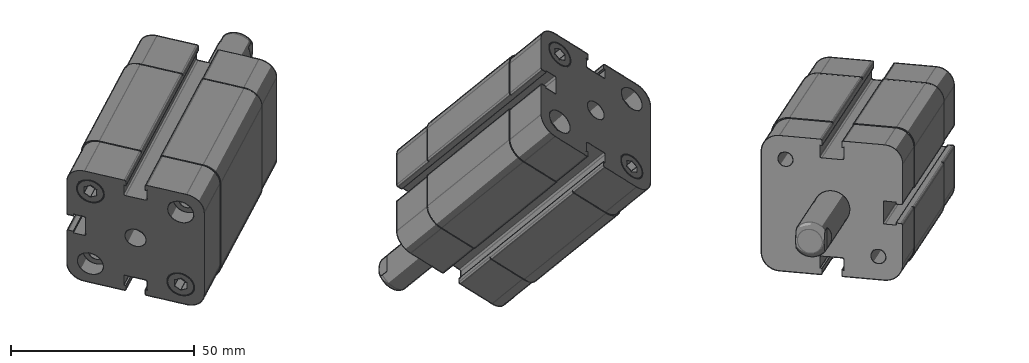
import cadquery as cq
import math

overall_length = 85.0
housing_length = 59.6
cover_length = 12.8
barrel_length = housing_length - 2 * cover_length

barrel_side = 40.1
cover_inset = 0.25
cover_side = barrel_side - 2 * cover_inset
corner_radius = 5.1

slot_mouth_width = 5.5
slot_inner_width = 6.7
slot_depth = 5.7
slot_lip_depth = 2.1
slot_rounding = 0.5
slot_overcut = 0.85
slot_angles = (0, 90, 180)

hole_offset = 13.0
hole_points = [(-hole_offset, -hole_offset), (hole_offset, hole_offset)]
screw_points = [(-hole_offset, hole_offset), (hole_offset, -hole_offset)]
through_hole_diameter = 4.2
counterbore_diameter = 7.5
counterbore_depth = 4.5
screw_recess_diameter = 8.0
screw_head_diameter = counterbore_diameter
hex_corner_diameter = 4.2
hex_depth = 4.0
center_hole_diameter = 6.0
center_hole_depth = 6.0

rod_length = overall_length - housing_length
rod_diameter = 10.0
rod_tip_radius = 1.5
rod_flats_width = 8.0
rod_flats_length = 3.5


def section_plane(y):
    """Cross-section plane at y, with local x along +X, local y along +Z and its normal along -Y."""
    return cq.Workplane("XZ", origin=(0, y, 0))


def slot_cutter(side, length):
    """Slot running along +Y, open at the +Z face of a square bar of the given side."""
    half_mouth = slot_mouth_width / 2
    half_inner = slot_inner_width / 2
    face = side / 2
    lip = barrel_side / 2 - slot_lip_depth
    floor = barrel_side / 2 - slot_depth
    r = slot_rounding
    bevel = r * (1 - math.sqrt(0.5))
    return (
        cq.Workplane("XZ")
        .moveTo(-half_mouth - r, face + slot_overcut)
        .lineTo(-half_mouth - r, face)
        .threePointArc((-half_mouth - bevel, face - bevel), (-half_mouth, face - r))
        .lineTo(-half_mouth, lip)
        .lineTo(-half_inner, lip)
        .lineTo(-half_inner, floor + r)
        .threePointArc((-half_inner + bevel, floor + bevel), (-half_inner + r, floor))
        .lineTo(half_inner - r, floor)
        .threePointArc((half_inner - bevel, floor + bevel), (half_inner, floor + r))
        .lineTo(half_inner, lip)
        .lineTo(half_mouth, lip)
        .lineTo(half_mouth, face - r)
        .threePointArc((half_mouth + bevel, face - bevel), (half_mouth + r, face))
        .lineTo(half_mouth + r, face + slot_overcut)
        .close()
        .extrude(-length)
    )


def slotted_block(side, start, length):
    """Rounded square bar from y = start, with slots in its +Z, -X and -Z faces."""
    block = cq.Workplane("XZ").rect(side, side).extrude(-length).edges("|Y").fillet(corner_radius)
    cutter = slot_cutter(side, length)
    for angle in slot_angles:
        block = block.cut(cutter.rotate((0, 0, 0), (0, 1, 0), -angle))
    return block.translate((0, start, 0))


def piston_rod():
    """Rod with a rounded tip and two wrench flats facing -X and +X."""
    rod = (
        section_plane(housing_length)
        .circle(rod_diameter / 2)
        .extrude(-rod_length)
        .faces(">Y").edges().fillet(rod_tip_radius)
    )
    flat = rod_flats_width / 2
    surface = rod_diameter / 2
    runout = overall_length - rod_flats_length
    waste = (
        cq.Workplane("XY")
        .moveTo(flat, overall_length)
        .lineTo(flat, runout)
        .lineTo(surface, runout - (surface - flat))
        .lineTo(surface, overall_length)
        .close()
        .extrude(surface, both=True)
    )
    return rod.cut(waste).cut(waste.mirror("YZ"))


def bore(points, diameter, depth):
    """Round bores sunk from the -Y face."""
    return section_plane(0).pushPoints(points).circle(diameter / 2).extrude(-depth)


def screw_clearance():
    """Ring gap around each flush screw head."""
    return (
        section_plane(0)
        .pushPoints(screw_points)
        .circle(screw_recess_diameter / 2)
        .circle(screw_head_diameter / 2)
        .extrude(-counterbore_depth)
    )


def hex_socket(x, z):
    """Hexagon socket with corners pointing up and down."""
    return (
        cq.Workplane("XZ")
        .polygon(6, hex_corner_diameter)
        .extrude(-hex_depth)
        .rotate((0, 0, 0), (0, 1, 0), 90)
        .translate((x, 0, z))
    )


housing = (
    slotted_block(cover_side, 0, cover_length)
    .union(slotted_block(barrel_side, cover_length, barrel_length))
    .union(slotted_block(cover_side, cover_length + barrel_length, cover_length))
)

body = (
    housing
    .cut(bore(hole_points, through_hole_diameter, housing_length))
    .cut(bore(hole_points, counterbore_diameter, counterbore_depth))
    .cut(bore([(0, 0)], center_hole_diameter, center_hole_depth))
    .cut(screw_clearance())
)

for x, z in screw_points:
    body = body.cut(hex_socket(x, z))

result = body.union(piston_rod())